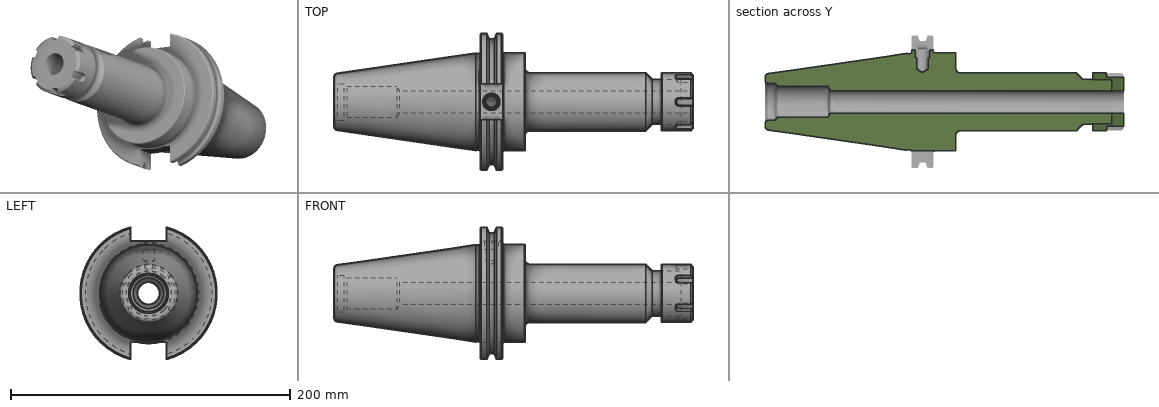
import cadquery as cq
import math


gauge_diameter = 69.85
taper_ratio = 7 / 24
taper_length = 101.6
taper_end_round = 3.0
tail_x = -taper_length
tail_radius = (gauge_diameter - taper_ratio * taper_length) / 2

flange_diameter = 98.1
flange_start_x = 3.18
flange_width = 15.88
flange_end_x = flange_start_x + flange_width
flange_edge_chamfer = 0.8
flange_root_fillet = 0.8
relief_diameter = 69.34
groove_center_x = 11.3
groove_mouth_width = 7.0
groove_floor_width = 3.8
groove_depth = 3.8

slot_width = 25.6
upper_slot_floor_z = 37.6
lower_slot_floor_z = -35.1

radial_hole_x = 11.1
radial_hole_diameter = 10.13
radial_hole_depth = 6.0
radial_pilot_diameter = 8.0
radial_pilot_depth = 14.0
radial_hole_chamfer = 1.0
drill_point_angle = 118.0

collar_diameter = 70.4
collar_end_x = 35.2
collar_chamfer = 0.6
extension_diameter = 41.85
extension_fillet = 3.0
neck_diameter = 32.51
neck_start_x = 126.1
extension_end_x = neck_start_x - (extension_diameter - neck_diameter) / 2

overall_length = 257.05
nut_diameter = 41.73
nut_end_x = overall_length - taper_length
nut_length = 22.7
nut_start_x = nut_end_x - nut_length
nut_rear_chamfer = 0.5
nut_front_chamfer = 1.6
nut_front_angle = 38.0
spigot_diameter = 32.0
spigot_length = 14.0
wrench_slot_count = 6
wrench_slot_floor_width = 4.7
wrench_slot_floor_length = 12.0
wrench_slot_floor_radius = 17.7
wrench_slot_overrun = 1.0
wrench_slot_draft = 14.0

through_bore_diameter = 15.75
pull_stud_bore_diameter = 26.09
pull_stud_bore_depth = 7.0
pull_stud_mouth_diameter = 28.6
pull_stud_mouth_depth = 2.2
thread_bore_diameter = 21.95
thread_bore_depth = 45.0


def x_cylinder(diameter, start_x, end_x):
    return cq.Workplane("YZ", origin=(start_x, 0, 0)).circle(diameter / 2).extrude(end_x - start_x)


def revolve_about_x(profile):
    """Revolve a closed profile, drawn as (x, radius), about the X axis."""
    return profile.close().revolve(360, (0, 0, 0), (1, 0, 0))


def make_holder_blank():
    taper_angle = math.atan(taper_ratio / 2)
    round_center_x = tail_x + taper_end_round
    round_center_r = (
        tail_radius + taper_end_round * taper_ratio / 2 - taper_end_round / math.cos(taper_angle)
    )

    def on_tail_round(angle):
        return (
            round_center_x + taper_end_round * math.cos(angle),
            round_center_r + taper_end_round * math.sin(angle),
        )

    tangent_angle = math.pi / 2 + taper_angle
    middle_angle = (math.pi + tangent_angle) / 2

    flange_r = flange_diameter / 2
    relief_r = relief_diameter / 2
    collar_r = collar_diameter / 2
    extension_r = extension_diameter / 2
    groove_floor_r = flange_r - groove_depth
    profile = (
        cq.Workplane("XY")
        .moveTo(tail_x, 0)
        .lineTo(tail_x, round_center_r)
        .threePointArc(on_tail_round(middle_angle), on_tail_round(tangent_angle))
        .lineTo(0, gauge_diameter / 2)
        .lineTo(0, relief_r)
        .lineTo(flange_start_x - flange_root_fillet, relief_r)
        .radiusArc((flange_start_x, relief_r + flange_root_fillet), -flange_root_fillet)
        .lineTo(flange_start_x, flange_r - flange_edge_chamfer)
        .lineTo(flange_start_x + flange_edge_chamfer, flange_r)
        .lineTo(groove_center_x - groove_mouth_width / 2, flange_r)
        .lineTo(groove_center_x - groove_floor_width / 2, groove_floor_r)
        .lineTo(groove_center_x + groove_floor_width / 2, groove_floor_r)
        .lineTo(groove_center_x + groove_mouth_width / 2, flange_r)
        .lineTo(flange_end_x - flange_edge_chamfer, flange_r)
        .lineTo(flange_end_x, flange_r - flange_edge_chamfer)
        .lineTo(flange_end_x, collar_r + flange_root_fillet)
        .radiusArc((flange_end_x + flange_root_fillet, collar_r), -flange_root_fillet)
        .lineTo(collar_end_x - collar_chamfer, collar_r)
        .lineTo(collar_end_x, collar_r - collar_chamfer)
        .lineTo(collar_end_x, extension_r + extension_fillet)
        .radiusArc((collar_end_x + extension_fillet, extension_r), -extension_fillet)
        .lineTo(extension_end_x, extension_r)
        .lineTo(neck_start_x, neck_diameter / 2)
        .lineTo(nut_start_x, neck_diameter / 2)
        .lineTo(nut_start_x, spigot_diameter / 2)
        .lineTo(nut_start_x + spigot_length, spigot_diameter / 2)
        .lineTo(nut_start_x + spigot_length, 0)
    )
    return revolve_about_x(profile)


def make_tail_bore():
    bore_r = pull_stud_bore_diameter / 2
    thread_r = thread_bore_diameter / 2
    through_r = through_bore_diameter / 2
    step_x = tail_x + pull_stud_bore_depth
    point_x = tail_x + thread_bore_depth
    point_length = (thread_r - through_r) / math.tan(math.radians(drill_point_angle / 2))
    profile = (
        cq.Workplane("XY")
        .moveTo(tail_x, 0)
        .lineTo(tail_x, pull_stud_mouth_diameter / 2)
        .lineTo(tail_x + pull_stud_mouth_depth, bore_r)
        .lineTo(step_x, bore_r)
        .lineTo(step_x + (bore_r - thread_r), thread_r)
        .lineTo(point_x, thread_r)
        .lineTo(point_x + point_length, through_r)
        .lineTo(point_x + point_length, 0)
    )
    return revolve_about_x(profile)


def make_radial_hole():
    hole_r = radial_hole_diameter / 2
    pilot_r = radial_pilot_diameter / 2
    point_depth = radial_pilot_depth + pilot_r / math.tan(math.radians(drill_point_angle / 2))
    return (
        cq.Workplane("XZ", origin=(radial_hole_x, 0, upper_slot_floor_z))
        .lineTo(hole_r + radial_hole_chamfer, 0)
        .lineTo(hole_r, -radial_hole_chamfer)
        .lineTo(hole_r, -radial_hole_depth)
        .lineTo(pilot_r, -radial_hole_depth)
        .lineTo(pilot_r, -radial_pilot_depth)
        .lineTo(0, -point_depth)
        .close()
        .revolve(360, (0, 0, 0), (0, 1, 0))
    )


def make_driving_slot(floor_z):
    height = flange_diameter / 2
    slot = cq.Workplane("XY").box(flange_width, slot_width, height, centered=(False, True, False))
    if floor_z < 0:
        slot = slot.translate((0, 0, -height))
    return slot.translate((flange_start_x, 0, floor_z))


def make_holder():
    through_bore = x_cylinder(through_bore_diameter, tail_x, nut_end_x)
    return (
        make_holder_blank()
        .cut(make_driving_slot(upper_slot_floor_z))
        .cut(make_driving_slot(lower_slot_floor_z))
        .cut(make_radial_hole())
        .cut(make_tail_bore())
        .cut(through_bore)
    )


def make_wrench_slot(angle):
    """Round-ended slot, open at the nut's front, whose walls lean outwards."""
    half_width = wrench_slot_floor_width / 2
    tip_x = nut_end_x - wrench_slot_floor_length
    open_x = nut_end_x + half_width
    cut_height = nut_diameter / 2 - wrench_slot_floor_radius + wrench_slot_overrun
    return (
        cq.Workplane("XY", origin=(0, 0, wrench_slot_floor_radius))
        .moveTo(open_x, half_width)
        .lineTo(tip_x + half_width, half_width)
        .threePointArc((tip_x, 0), (tip_x + half_width, -half_width))
        .lineTo(open_x, -half_width)
        .close()
        .extrude(cut_height, taper=-wrench_slot_draft)
        .rotate((0, 0, 0), (1, 0, 0), angle)
    )


def make_nut():
    radius = nut_diameter / 2
    front_radius = radius - nut_front_chamfer / math.tan(math.radians(nut_front_angle))
    outline = (
        cq.Workplane("XY")
        .moveTo(nut_start_x, 0)
        .lineTo(nut_start_x, radius - nut_rear_chamfer)
        .lineTo(nut_start_x + nut_rear_chamfer, radius)
        .lineTo(nut_end_x - nut_front_chamfer, radius)
        .lineTo(nut_end_x, front_radius)
        .lineTo(nut_end_x, 0)
    )
    nut = (
        revolve_about_x(outline)
        .cut(x_cylinder(spigot_diameter, nut_start_x, nut_start_x + spigot_length))
        .cut(x_cylinder(through_bore_diameter, nut_start_x, nut_end_x))
    )
    for index in range(wrench_slot_count):
        nut = nut.cut(make_wrench_slot(index * 360 / wrench_slot_count))
    return nut


holder = make_holder()
nut = make_nut()

result = cq.Compound.makeCompound([holder.val(), nut.val()])